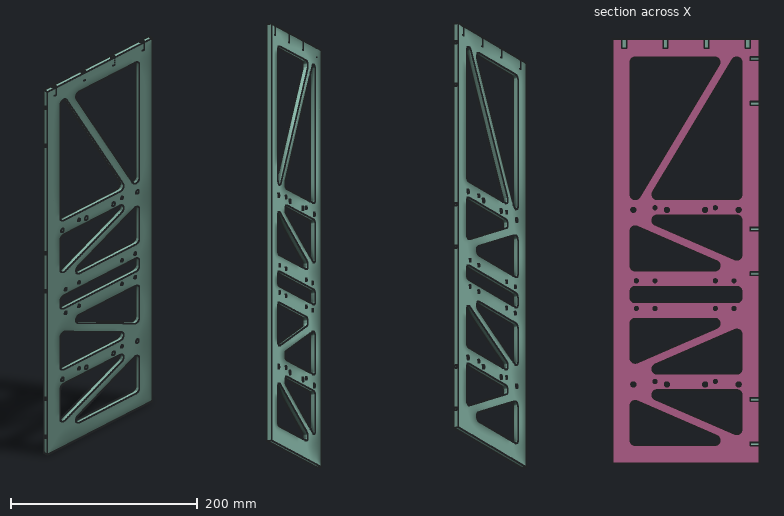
import cadquery as cq

thickness = 6.0
width = 158.0
height = 455.0

side_margin = 19.5
bottom_margin = 20.0
rib = 17.7
bay_height = 58.5
slot_height = 16.5
tall_bay_height = 151.5
window_width = width - 2 * side_margin
corner_radius = 5.0

brace_width = 10.0
brace_angle = 23.5
tall_brace_angle = 59.0

bolt_diameter = 4.5
bolt_offsets = (20.5, 56.5)
bolt_drop = 2.7
pin_diameter = 3.3
inner_pin_offset = 32.5
outer_pin_offset = 52.5
pin_shift = 1.0
inner_row_gap = 29.5
pin_row_spacing = 78.3

edge_hole_depth = 10.0
top_hole_diameter = 4.5
top_hole_spacing = 44.0
top_hole_count = 4
side_hole_diameter = 3.3
side_pair_spacing = 48.0
side_pair_pitch = 182.5

bay_1 = bottom_margin
bay_2 = bay_1 + bay_height + rib
slot = bay_2 + bay_height + rib
bay_3 = slot + slot_height + rib
bay_4 = bay_3 + bay_height + rib
slot_middle = slot + slot_height / 2


def window_block(bottom, block_height):
    """Full-thickness block as wide as a window."""
    return (
        cq.Workplane("XY")
        .box(thickness, window_width, block_height)
        .translate((0, 0, bottom + block_height / 2))
    )


def rounded(cutter):
    """Round the corners that run through the panel thickness."""
    return cutter.edges("|X").fillet(corner_radius)


def braced_window(bottom, window_height, tilt):
    """Pair of rounded openings either side of a brace; a positive tilt rises towards +Y."""
    brace = (
        cq.Workplane("XY")
        .box(2 * thickness, height, brace_width)
        .rotate((0, 0, 0), (1, 0, 0), tilt)
        .translate((0, 0, bottom + window_height / 2))
    )
    return rounded(window_block(bottom, window_height).cut(brace))


def face_holes(points, diameter):
    """Cylinders through the panel at the given (Y, Z) points."""
    return (
        cq.Workplane("YZ", origin=(-thickness, 0, 0))
        .pushPoints(points)
        .circle(diameter / 2)
        .extrude(2 * thickness)
    )


panel = cq.Workplane("XY").box(thickness, width, height).translate((0, 0, height / 2))

panel = panel.cut(braced_window(bay_1, bay_height, brace_angle))
panel = panel.cut(braced_window(bay_2, bay_height, -brace_angle))
panel = panel.cut(rounded(window_block(slot, slot_height)))
panel = panel.cut(braced_window(bay_3, bay_height, brace_angle))
panel = panel.cut(braced_window(bay_4, tall_bay_height, -tall_brace_angle))

for bay in (bay_2, bay_4):
    bolt_row = bay - rib / 2 - bolt_drop
    bolts = [(side * offset, bolt_row) for offset in bolt_offsets for side in (-1, 1)]
    panel = panel.cut(face_holes(bolts, bolt_diameter))

inner_row = inner_row_gap / 2
outer_row = inner_row + pin_row_spacing
pin_rows = (
    (inner_row, (inner_pin_offset, outer_pin_offset)),
    (outer_row, (inner_pin_offset,)),
)
for row, offsets in pin_rows:
    pins = [
        (side * offset + pin_shift, slot_middle + level * row)
        for offset in offsets
        for side in (-1, 1)
        for level in (-1, 1)
    ]
    panel = panel.cut(face_holes(pins, pin_diameter))

top_holes = (
    cq.Workplane("XY", origin=(0, 0, height))
    .rarray(4.5, top_hole_spacing, 1, top_hole_count)
    .circle(top_hole_diameter / 2)
    .extrude(-edge_hole_depth)
)
panel = panel.cut(top_holes)

side_hole_points = [
    (0, height / 2 + pair * side_pair_pitch + half * side_pair_spacing / 2)
    for pair in (-1, 0, 1)
    for half in (-1, 1)
]
side_holes = (
    cq.Workplane("XZ", origin=(0, -width / 2, 0))
    .pushPoints(side_hole_points)
    .circle(side_hole_diameter / 2)
    .extrude(-edge_hole_depth)
)
result = panel.cut(side_holes)